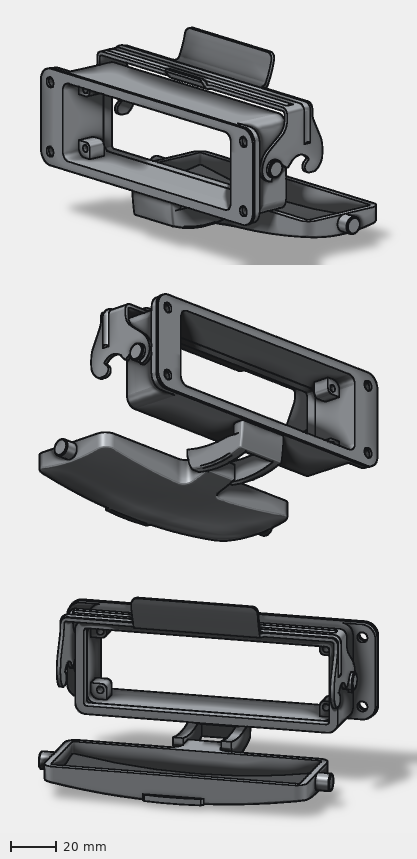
import cadquery as cq
import math


FLANGE_LENGTH = 142.5
FLANGE_HEIGHT = 44.7
FLANGE_THICKNESS = 4.4
FLANGE_RADIUS = 6.5
FLANGE_RIM = 1.3
FLANGE_STEP = 0.3
BODY_LENGTH = 121.0
BODY_HEIGHT = 43.7
BODY_DEPTH = 29.2
BODY_RADIUS = 5.0
BODY_DRAFT_END = 24.1
BODY_DRAFT = 0.3
OPENING_LENGTH = 113.0
OPENING_HEIGHT = 36.0
OPENING_RADIUS = 4.0
OPENING_MOUTH = 1.6
OPENING_DRAFT = 0.1
REAR_OPENING_RADIUS = 1.5
FLANGE_HOLE_X = 65.0
FLANGE_HOLE_Z = 16.0
FLANGE_HOLE_DIAMETER = 4.7
FLANGE_HOLE_REAR_DIAMETER = 4.6
SCREW_X = 52.0
SCREW_Z = 13.55
SCREW_DIAMETER = 3.2
SCREW_BOSS_INNER_X = 49.0
SCREW_BOSS_INNER_Z = 10.6
SCREW_BOSS_RADIUS = 2.5
SCREW_BOSS_START = 9.4
SCREW_BOSS_LENGTH = 8.5
PIN_RADIUS = 4.0
PIN_CHAMFER = 0.5
PIVOT_Y = 18.9
PIVOT_TIP_X = 65.6

HINGE_WIDTH = 27.0
HINGE_SLOT_WIDTH = 17.5
HINGE_PLATE_BACK = 5.3
HINGE_WEB_BACK = 11.9
HINGE_WEB_RADIUS = 6.5
HINGE_CHEEK_END = 36.5
HINGE_CHEEK_TOP = -27.6
HINGE_EDGE_RADIUS = 1.0

SHEET = 1.75
LEVER_OUTER_X = 63.9
LEVER_TOP = 26.1
LEVER_BEND_RADIUS = 3.1
LEVER_FRONT = 26.9
LEVER_BACK = 41.9
LEVER_BOTTOM = -5.8
LEVER_FRONT_REACH = 11.0
LEVER_BACK_REACH = 49.0
EYE_START_ANGLE = math.radians(25)
EYE_END_ANGLE = math.radians(258)
PIVOT_CLEARANCE = 0.1
RIDGE_WIDTH = 3.6
LONG_RIDGE_Y = 38.8
LONG_RIDGE_HEIGHT = 0.7
LONG_RIDGE_BOTTOM = 7.8
LONG_RIDGE_END_SLOPE = 1.0
TOP_RIDGE_Y = 31.7
TOP_RIDGE_HEIGHT = 0.45
TOP_RIDGE_LENGTH = 121.0
GRIP_WIDTH = 58.2
GRIP_TIP_Z = 40.13
GRIP_CORNER = 3.0
GRIP_FLARE = 1.8
CATCH_WIDTH = 24.4
CATCH_TIP_Z = 29.3
CATCH_CORNER = 1.5
CATCH_FLARE = 1.0

COVER_LENGTH = 121.0
COVER_FRONT = 41.9
COVER_BACK = 85.4
COVER_MIDDLE = (COVER_FRONT + COVER_BACK) / 2
COVER_WIDTH = COVER_BACK - COVER_FRONT
COVER_RIM_Z = -30.1
COVER_BOTTOM_Z = -45.02
COVER_RADIUS = 5.1
COVER_WALL = 3.1
COVER_FLOOR = 2.5
COVER_CAVITY_RADIUS = 1.2
DOME_RISE_X = 5.6
DOME_RISE_Y = 2.6
COVER_EDGE_RADIUS = 1.0
COVER_PIN_TIP_X = 67.0
LUG_WIDTH = HINGE_SLOT_WIDTH
LUG_TIP_Y = 28.5
LUG_FILLET = 4.7
LIP_TIP_Y = 87.6
LIP_WIDTH = 28.0
LIP_CORNER_X = 1.0
LIP_CORNER_Y = 1.2
LIP_TOP = -39.5
LIP_BOTTOM = -42.4


def rounded_block(length, height, start, end, radius, taper=0.0):
    """Block along Y with its four long edges rounded; a taper in degrees narrows it towards +Y."""
    outline = cq.Sketch().rect(length, height).vertices().fillet(radius)
    return cq.Workplane("XZ", origin=(0, start, 0)).placeSketch(outline).extrude(start - end, taper=taper)


def box(x_range, y_range, z_range):
    """Box between two limits on each axis."""
    sizes = [high - low for low, high in (x_range, y_range, z_range)]
    corner = (x_range[0], y_range[0], z_range[0])
    return cq.Workplane("XY").box(*sizes, centered=False).translate(corner)


def add_side_pins(body, centre_y, centre_z, root_x, tip_x):
    """Join two coaxial pins that stand out from the end walls."""
    for side in (-1, 1):
        plane = cq.Workplane("YZ", origin=(side * root_x, centre_y, centre_z))
        pin = plane.circle(PIN_RADIUS).extrude(side * (tip_x - root_x))
        tip = pin.faces(">X" if side > 0 else "<X")
        body = body.union(tip.chamfer(PIN_CHAMFER))
    return body




def make_hinge_bracket():
    """Plate, two cheeks and a web that hang below the housing and hold the cover lug."""
    top = -BODY_HEIGHT / 2
    bracket = (
        cq.Workplane("YZ")
        .moveTo(2.7, top)
        .threePointArc((3.1, -28.5), (4.0, -34.8))
        .threePointArc((19.5, -38.25), (33.7, -37.4))
        .lineTo(35.3, -34.4)
        .lineTo(HINGE_CHEEK_END, -30.2)
        .lineTo(HINGE_CHEEK_END, -27.2)
        .threePointArc((23.0, -28.6), (HINGE_WEB_BACK, HINGE_CHEEK_TOP))
        .lineTo(HINGE_PLATE_BACK, HINGE_CHEEK_TOP)
        .lineTo(HINGE_PLATE_BACK, top)
        .close()
        .extrude(HINGE_WIDTH / 2, both=True)
    )
    reach = HINGE_WIDTH
    front_edges = cq.selectors.BoxSelector((-reach, 2.8, -36), (reach, 4.1, top - 1))
    bottom_edges = cq.selectors.BoxSelector((-reach, 10, -39), (reach, 30, -36))
    bracket = bracket.edges(front_edges + bottom_edges).fillet(HINGE_EDGE_RADIUS)
    half_slot = HINGE_SLOT_WIDTH / 2
    slot = box((-half_slot, half_slot), (HINGE_PLATE_BACK, HINGE_CHEEK_END), (COVER_BOTTOM_Z, top))
    web = (
        box((-HINGE_WIDTH / 2, HINGE_WIDTH / 2), (HINGE_PLATE_BACK, HINGE_WEB_BACK), (HINGE_CHEEK_TOP, top))
        .edges("|Z and >Y")
        .fillet(HINGE_WEB_RADIUS)
    )
    return bracket.cut(slot).union(web)


def make_housing_shell():
    """Flange with a stepped rim, and the body whose walls widen towards the mounting face."""
    rim = rounded_block(FLANGE_LENGTH, FLANGE_HEIGHT, 0, FLANGE_RIM, FLANGE_RADIUS)
    flange = rounded_block(
        FLANGE_LENGTH - 2 * FLANGE_STEP,
        FLANGE_HEIGHT - 2 * FLANGE_STEP,
        0,
        FLANGE_THICKNESS,
        FLANGE_RADIUS - FLANGE_STEP,
    )
    drafted = rounded_block(
        BODY_LENGTH + 2 * BODY_DRAFT,
        BODY_HEIGHT + 2 * BODY_DRAFT,
        0,
        BODY_DRAFT_END,
        BODY_RADIUS + BODY_DRAFT,
        math.degrees(math.atan(BODY_DRAFT / BODY_DRAFT_END)),
    )
    straight = rounded_block(BODY_LENGTH, BODY_HEIGHT, BODY_DRAFT_END, BODY_DEPTH, BODY_RADIUS)
    return rim.union(flange).union(drafted).union(straight)


def make_opening():
    """Through opening: straight mouth, drafted stretch up to the screw bosses, then straight."""
    mouth = rounded_block(OPENING_LENGTH, OPENING_HEIGHT, 0, OPENING_MOUTH, OPENING_RADIUS)
    taper = math.degrees(math.atan(OPENING_DRAFT / (SCREW_BOSS_START - OPENING_MOUTH)))
    drafted = rounded_block(
        OPENING_LENGTH, OPENING_HEIGHT, OPENING_MOUTH, SCREW_BOSS_START, OPENING_RADIUS, taper
    )
    length = OPENING_LENGTH - 2 * OPENING_DRAFT
    height = OPENING_HEIGHT - 2 * OPENING_DRAFT
    throat = rounded_block(
        length, height, SCREW_BOSS_START, BODY_DRAFT_END, OPENING_RADIUS - OPENING_DRAFT
    )
    rear = rounded_block(OPENING_LENGTH, OPENING_HEIGHT, BODY_DRAFT_END, BODY_DEPTH, REAR_OPENING_RADIUS)
    return mouth.union(drafted).union(throat).union(rear)


def make_screw_bosses():
    """One boss in each corner of the opening, with a hole for a contact-insert screw."""
    wall = 1.0
    length = OPENING_LENGTH / 2 + wall - SCREW_BOSS_INNER_X
    height = OPENING_HEIGHT / 2 + wall - SCREW_BOSS_INNER_Z
    block = (
        cq.Workplane("XZ", origin=(SCREW_BOSS_INNER_X, SCREW_BOSS_START, SCREW_BOSS_INNER_Z))
        .rect(length, height, centered=False)
        .extrude(-SCREW_BOSS_LENGTH)
        .edges("|Y and <X and <Z")
        .fillet(SCREW_BOSS_RADIUS)
    )
    pair = block.union(block.mirror("YZ"))
    return pair.union(pair.mirror("XY"))


def corner_holes(x, z, diameter, depth):
    """Four holes along Y, mirrored about X = 0 and Z = 0."""
    return (
        cq.Workplane("XZ")
        .rect(2 * x, 2 * z, forConstruction=True)
        .vertices()
        .circle(diameter / 2)
        .extrude(-depth)
    )


def make_housing():
    housing = make_housing_shell().cut(make_opening())
    housing = housing.union(make_screw_bosses()).union(make_hinge_bracket())
    housing = housing.cut(corner_holes(SCREW_X, SCREW_Z, SCREW_DIAMETER, BODY_DEPTH))
    for diameter, depth in (
        (FLANGE_HOLE_DIAMETER, FLANGE_RIM),
        (FLANGE_HOLE_REAR_DIAMETER, FLANGE_THICKNESS),
    ):
        housing = housing.cut(corner_holes(FLANGE_HOLE_X, FLANGE_HOLE_Z, diameter, depth))
    return add_side_pins(housing, PIVOT_Y, 0, BODY_LENGTH / 2, PIVOT_TIP_X)




def make_lever_sheet():
    """Bent sheet: a flat top with an arm folded down at each end."""
    height = LEVER_TOP - LEVER_BOTTOM
    width = LEVER_BACK_REACH - LEVER_FRONT_REACH
    middle = (LEVER_BOTTOM + LEVER_TOP) / 2
    start = (0, LEVER_FRONT_REACH, middle)
    outside = cq.Workplane("XZ", origin=start).rect(2 * LEVER_OUTER_X, height).extrude(-width)
    outside = outside.edges("|Y and >Z").fillet(LEVER_BEND_RADIUS)
    inside = (
        cq.Workplane("XZ", origin=start)
        .rect(2 * (LEVER_OUTER_X - SHEET), height)
        .extrude(-width)
        .edges("|Y and >Z")
        .fillet(LEVER_BEND_RADIUS - SHEET)
        .translate((0, 0, -SHEET))
    )
    return outside.cut(inside)


def lever_side_outline():
    """Outline of the arms: hook for the cover pin at the back, open eye for the pivot in front."""
    eye = PIN_RADIUS + PIVOT_CLEARANCE
    eye_start = (PIVOT_Y + eye * math.cos(EYE_START_ANGLE), eye * math.sin(EYE_START_ANGLE))
    eye_top = (PIVOT_Y, eye)
    eye_end = (PIVOT_Y + eye * math.cos(EYE_END_ANGLE), eye * math.sin(EYE_END_ANGLE))
    return (
        cq.Workplane("YZ")
        .moveTo(LEVER_FRONT, LEVER_TOP)
        .lineTo(LEVER_BACK, LEVER_TOP)
        .lineTo(LEVER_BACK, 20.5)
        .threePointArc((42.2, 19.0), (42.8, 17.5))
        .lineTo(47.1, 8.6)
        .threePointArc((47.8, 5.0), (47.6, -0.5))
        .threePointArc((46.0, -3.5), (43.2, LEVER_BOTTOM))
        .lineTo(40.2, LEVER_BOTTOM)
        .threePointArc((37.4, -3.2), (38.2, -1.0))
        .lineTo(39.8, 0.4)
        .threePointArc((35.3, 3.3), (29.1, 0.6))
        .lineTo(27.6, -0.9)
        .threePointArc((27.1, -1.2), (26.6, -1.1))
        .lineTo(*eye_start)
        .threePointArc(eye_top, eye_end)
        .lineTo(17.7, -5.6)
        .threePointArc((17.5, -5.95), (17.0, LEVER_BOTTOM))
        .threePointArc((13.5, -3.7), (12.2, 1.0))
        .threePointArc((14.1, 6.0), (17.3, 9.2))
        .lineTo(23.6, 14.0)
        .threePointArc((26.3, 17.5), (LEVER_FRONT, 20.3))
        .close()
    )


def make_grip():
    """Curved thumb tab at the back of the lever."""
    outline = (
        cq.Workplane("YZ")
        .moveTo(LEVER_BACK, LEVER_TOP)
        .lineTo(42.7, LEVER_TOP)
        .tangentArcPoint((44.9, 27.5), relative=False)
        .tangentArcPoint((48.7, GRIP_TIP_Z), relative=False)
        .lineTo(50.35, GRIP_TIP_Z)
        .threePointArc((48.7, 32.5), (46.4, 26.7))
        .threePointArc((45.4, 25.1), (43.8, LEVER_TOP - SHEET))
        .lineTo(LEVER_BACK, LEVER_TOP - SHEET)
        .close()
    )
    return outline.extrude(GRIP_WIDTH / 2, both=True).faces(">Z").edges("|Y").fillet(GRIP_CORNER)


def make_catch():
    """Small upturned tab at the front of the lever."""
    outline = (
        cq.Workplane("YZ")
        .moveTo(LEVER_FRONT, LEVER_TOP)
        .lineTo(26.2, LEVER_TOP)
        .threePointArc((25.4, 26.4), (24.9, 27.0))
        .lineTo(23.4, CATCH_TIP_Z)
        .lineTo(21.8, CATCH_TIP_Z)
        .lineTo(21.8, 28.2)
        .lineTo(24.2, 25.2)
        .threePointArc((25.0, 24.6), (26.0, LEVER_TOP - SHEET))
        .lineTo(LEVER_FRONT, LEVER_TOP - SHEET)
        .close()
    )
    return outline.extrude(CATCH_WIDTH / 2, both=True).faces(">Z").edges("|Y").fillet(CATCH_CORNER)


def tab_root(edge_y, width, flare, side):
    """Fillets that widen a tab where it leaves the flat top; side is +1 behind and -1 in front."""
    root = cq.Workplane("XY", origin=(0, 0, LEVER_TOP - SHEET)).moveTo(-width / 2 - flare, edge_y)
    tip_y = edge_y + side * flare
    bend = flare * (1 - math.sqrt(0.5))
    root = root.threePointArc((-width / 2 - bend, edge_y + side * bend), (-width / 2, tip_y))
    root = root.lineTo(width / 2, tip_y)
    root = root.threePointArc((width / 2 + bend, edge_y + side * bend), (width / 2 + flare, edge_y))
    return root.close().extrude(SHEET)


def ridge_section(plane, height):
    """Flat circular segment that forms the cross-section of a stiffening ridge."""
    half = RIDGE_WIDTH / 2
    depth = 0.5
    return (
        plane.moveTo(-half, -depth)
        .lineTo(-half, 0)
        .threePointArc((0, height), (half, 0))
        .lineTo(half, -depth)
        .close()
    )


def make_long_ridge():
    """Ridge that runs down one arm, across the top and down the other arm."""
    bend_start_x = LEVER_OUTER_X - LEVER_BEND_RADIUS
    bend_start_z = LEVER_TOP - LEVER_BEND_RADIUS
    bend = LEVER_BEND_RADIUS * (1 - math.sqrt(0.5))
    path = (
        cq.Workplane("XZ", origin=(0, LONG_RIDGE_Y, 0))
        .moveTo(-LEVER_OUTER_X, LONG_RIDGE_BOTTOM)
        .lineTo(-LEVER_OUTER_X, bend_start_z)
        .threePointArc((-LEVER_OUTER_X + bend, LEVER_TOP - bend), (-bend_start_x, LEVER_TOP))
        .lineTo(bend_start_x, LEVER_TOP)
        .threePointArc((LEVER_OUTER_X - bend, LEVER_TOP - bend), (LEVER_OUTER_X, bend_start_z))
        .lineTo(LEVER_OUTER_X, LONG_RIDGE_BOTTOM)
    )
    start = cq.Plane(
        origin=(-LEVER_OUTER_X, LONG_RIDGE_Y, LONG_RIDGE_BOTTOM), xDir=(0, 1, 0), normal=(0, 0, 1)
    )
    ridge = ridge_section(cq.Workplane(start), LONG_RIDGE_HEIGHT).sweep(path)
    slope = (
        cq.Workplane("XZ", origin=(0, LONG_RIDGE_Y, 0))
        .moveTo(LEVER_OUTER_X, LONG_RIDGE_BOTTOM)
        .lineTo(LEVER_OUTER_X + 2 * LONG_RIDGE_HEIGHT, LONG_RIDGE_BOTTOM)
        .lineTo(LEVER_OUTER_X + 2 * LONG_RIDGE_HEIGHT, LONG_RIDGE_BOTTOM + 2 * LONG_RIDGE_END_SLOPE)
        .close()
        .extrude(RIDGE_WIDTH, both=True)
    )
    return ridge.cut(slope).cut(slope.mirror("YZ"))


def make_top_ridge():
    """Shorter ridge across the flat top."""
    start = cq.Workplane("YZ", origin=(0, TOP_RIDGE_Y, LEVER_TOP))
    return ridge_section(start, TOP_RIDGE_HEIGHT).extrude(TOP_RIDGE_LENGTH / 2, both=True)


def make_lever():
    arms = lever_side_outline().extrude(LEVER_OUTER_X, both=True)
    lever = make_lever_sheet().intersect(arms)
    for part in (
        make_grip(),
        make_catch(),
        tab_root(LEVER_BACK, GRIP_WIDTH, GRIP_FLARE, 1),
        tab_root(LEVER_FRONT, CATCH_WIDTH, CATCH_FLARE, -1),
        make_long_ridge(),
        make_top_ridge(),
    ):
        lever = lever.union(part)
    return lever




def make_dome(bottom, top):
    """Solid above a doubly curved bottom: an arc along Y swept round a larger arc along X."""
    half_x = COVER_LENGTH / 2
    half_y = COVER_WIDTH / 2
    radius_x = (half_x**2 + DOME_RISE_X**2) / (2 * DOME_RISE_X)
    axis_z = COVER_BOTTOM_Z + radius_x
    margin_y = 1.0
    reach_y = COVER_MIDDLE - LUG_TIP_Y + margin_y
    radius_y = (half_y**2 + DOME_RISE_Y**2) / (2 * DOME_RISE_Y)
    edge_z = bottom + radius_y - math.sqrt(radius_y**2 - reach_y**2)
    extra_angle = 6.0
    sweep_angle = 2 * math.degrees(math.asin(half_x / radius_x)) + extra_angle
    section = (
        cq.Workplane("YZ")
        .moveTo(COVER_MIDDLE - reach_y, top)
        .lineTo(COVER_MIDDLE - reach_y, edge_z)
        .threePointArc((COVER_MIDDLE, bottom), (COVER_MIDDLE + reach_y, edge_z))
        .lineTo(COVER_MIDDLE + reach_y, top)
        .close()
        .revolve(sweep_angle, (0, axis_z, 0), (1, axis_z, 0))
    )
    return section.rotate((0, 0, axis_z), (0, 1, axis_z), -sweep_angle / 2)


def rounded_prism(length, width, radius):
    """Upright block over the cover, with rounded corners, from its lowest point to its rim."""
    return (
        cq.Workplane("XY", origin=(0, COVER_MIDDLE, COVER_BOTTOM_Z))
        .rect(length, width)
        .extrude(COVER_RIM_Z - COVER_BOTTOM_Z)
        .edges("|Z")
        .fillet(radius)
    )


def make_cover_lug():
    """Hinge lug that blends out of the front wall and reaches between the bracket cheeks."""
    half = LUG_WIDTH / 2
    bend = LUG_FILLET * (1 - math.sqrt(0.5))
    overlap_y = COVER_FRONT + COVER_WALL
    return (
        cq.Workplane("XY", origin=(0, 0, COVER_BOTTOM_Z))
        .moveTo(-half - LUG_FILLET, overlap_y)
        .lineTo(-half - LUG_FILLET, COVER_FRONT)
        .threePointArc((-half - bend, COVER_FRONT - bend), (-half, COVER_FRONT - LUG_FILLET))
        .lineTo(-half, LUG_TIP_Y)
        .lineTo(half, LUG_TIP_Y)
        .lineTo(half, COVER_FRONT - LUG_FILLET)
        .threePointArc((half + bend, COVER_FRONT - bend), (half + LUG_FILLET, COVER_FRONT))
        .lineTo(half + LUG_FILLET, overlap_y)
        .close()
        .extrude(COVER_RIM_Z - COVER_BOTTOM_Z)
    )


def make_lip():
    """Finger lip low on the back wall, with a bowed edge."""
    half = LIP_WIDTH / 2
    return (
        cq.Workplane("XY", origin=(0, 0, LIP_BOTTOM))
        .moveTo(-half, COVER_BACK - COVER_WALL / 2)
        .lineTo(-half, COVER_BACK)
        .lineTo(-half + LIP_CORNER_X, COVER_BACK + LIP_CORNER_Y)
        .threePointArc((0, LIP_TIP_Y), (half - LIP_CORNER_X, COVER_BACK + LIP_CORNER_Y))
        .lineTo(half, COVER_BACK)
        .lineTo(half, COVER_BACK - COVER_WALL / 2)
        .close()
        .extrude(LIP_TOP - LIP_BOTTOM)
    )


def make_cover():
    outline = rounded_prism(COVER_LENGTH, COVER_WIDTH, COVER_RADIUS).union(make_cover_lug())
    shell = outline.intersect(make_dome(COVER_BOTTOM_Z, 0))
    shell = shell.faces("<Z").edges().fillet(COVER_EDGE_RADIUS)
    cavity_outline = rounded_prism(
        COVER_LENGTH - 2 * COVER_WALL, COVER_WIDTH - 2 * COVER_WALL, COVER_CAVITY_RADIUS
    )
    cavity = cavity_outline.intersect(make_dome(COVER_BOTTOM_Z + COVER_FLOOR, 0))
    cover = shell.union(make_lip()).cut(cavity)
    pin_z = COVER_RIM_Z - PIN_RADIUS
    return add_side_pins(cover, COVER_MIDDLE, pin_z, COVER_LENGTH / 2, COVER_PIN_TIP_X)


housing = make_housing()
lever = make_lever()
cover = make_cover()

result = cq.Compound.makeCompound([housing.val(), lever.val(), cover.val()])